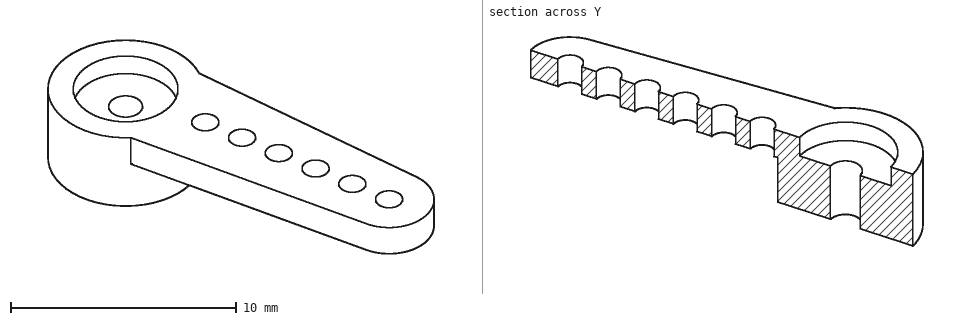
import cadquery as cq
import math

hub_diameter = 6.9
hub_height = 3.9
recess_diameter = 4.65
recess_depth = 1.0
screw_hole_diameter = 1.5

overall_length = 19.5
arm_thickness = 1.5
tip_radius = 2.0
root_x = 2.1

link_hole_diameter = 1.2
link_hole_count = 6
first_link_hole_x = 4.25
link_hole_pitch = 1.96

hub_radius = hub_diameter / 2
tip_x = overall_length - hub_radius
tip_center_x = tip_x - tip_radius
root_half_width = math.sqrt(hub_radius**2 - root_x**2)
arm_bottom_z = hub_height - arm_thickness


def tip_tangent_point():
    """Point on the tip arc where a line from the upper root corner is tangent."""
    dx = root_x - tip_center_x
    dy = root_half_width
    angle = math.atan2(dy, dx) - math.acos(tip_radius / math.hypot(dx, dy))
    return tip_center_x + tip_radius * math.cos(angle), tip_radius * math.sin(angle)


def make_hub():
    return cq.Workplane("XY").circle(hub_radius).extrude(hub_height)


def make_arm():
    """Tapered plate that starts inside the hub and ends in a tangent round tip."""
    tangent_x, tangent_y = tip_tangent_point()
    return (
        cq.Workplane("XY", origin=(0, 0, arm_bottom_z))
        .moveTo(0, -root_half_width)
        .lineTo(root_x, -root_half_width)
        .lineTo(tangent_x, -tangent_y)
        .threePointArc((tip_x, 0), (tangent_x, tangent_y))
        .lineTo(root_x, root_half_width)
        .lineTo(0, root_half_width)
        .close()
        .extrude(arm_thickness)
    )


def drill(x, diameter, depth):
    """Cylinder reaching down from the top face, to be cut away."""
    return (
        cq.Workplane("XY", origin=(x, 0, hub_height))
        .circle(diameter / 2)
        .extrude(-depth)
    )


result = make_hub().union(make_arm())
result = result.cut(drill(0, recess_diameter, recess_depth))
result = result.cut(drill(0, screw_hole_diameter, hub_height))
for index in range(link_hole_count):
    hole_x = first_link_hole_x + index * link_hole_pitch
    result = result.cut(drill(hole_x, link_hole_diameter, arm_thickness))